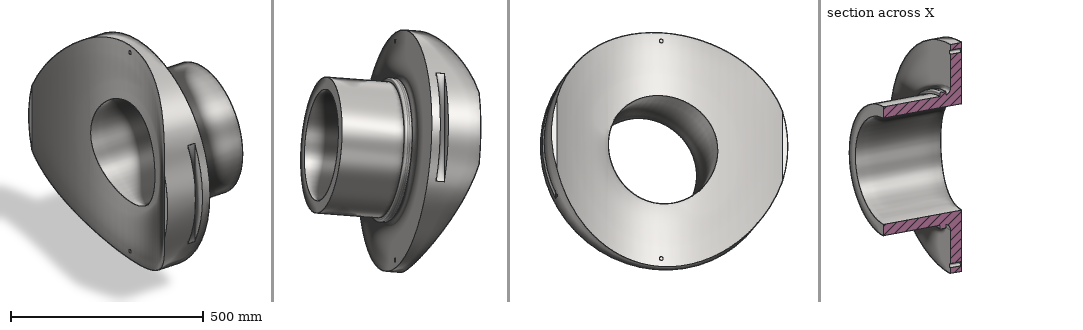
import cadquery as cq
import math

flange_diameter = 630.0
flange_radius = flange_diameter / 2
flange_depth = 134.0
saddle_radius = 500.0
crown_thickness = 34.0

pipe_radius = 177.5
pipe_length = 201.0
bore_radius = 145.5

neck_fillet = 17.5
collar_setback = 11.5
bead_radius = 5.35
bead_spacing = 10.0
collar_radius = 189.0
groove_depth = 1.0

slot_width = 22.0
slot_depth = 35.0
slot_setback = 23.0

pin_hole_diameter = 10.0
pin_hole_depth = 33.0
pin_hole_offset = 293.0


def make_flange():
    """Round disc with a cylindrical saddle cut into its -Y face."""
    disc = cq.Workplane("XZ").circle(flange_radius).extrude(flange_depth)
    saddle = (
        cq.Workplane("XY")
        .center(0, -crown_thickness - saddle_radius)
        .circle(saddle_radius)
        .extrude(flange_radius, both=True)
    )
    return disc.cut(saddle)


def make_pipe():
    """Plain pipe standing on the mounting face."""
    return cq.Workplane("XZ").circle(pipe_radius).extrude(-pipe_length)


def make_neck():
    """Concave fillet ring blending the pipe into the mounting face."""
    fillet_reach = neck_fillet * (1 - math.sqrt(0.5))
    return (
        cq.Workplane("XY")
        .moveTo(bore_radius, 0)
        .lineTo(pipe_radius + neck_fillet, 0)
        .threePointArc(
            (pipe_radius + fillet_reach, fillet_reach), (pipe_radius, neck_fillet)
        )
        .lineTo(bore_radius, neck_fillet)
        .close()
        .revolve(360, (0, 0, 0), (0, 1, 0))
    )


def make_collar():
    """Two round beads joined by a tangent groove, revolved about the pipe axis."""
    half_spacing = bead_spacing / 2
    collar_middle = collar_setback + bead_radius + half_spacing
    bead_center_radius = collar_radius - bead_radius
    waist_rise = bead_radius - groove_depth

    groove_radius = (waist_rise**2 + half_spacing**2 - bead_radius**2) / (2 * groove_depth)
    blend = bead_radius / (bead_radius + groove_radius)
    blend_radius = bead_center_radius + blend * (waist_rise + groove_radius)
    blend_offset = half_spacing * (1 - blend)
    half_length = half_spacing + bead_radius

    return (
        cq.Workplane("XY")
        .center(0, collar_middle)
        .moveTo(bore_radius, -half_length)
        .lineTo(bead_center_radius, -half_length)
        .threePointArc((collar_radius, -half_spacing), (blend_radius, -blend_offset))
        .threePointArc((collar_radius - groove_depth, 0), (blend_radius, blend_offset))
        .threePointArc((collar_radius, half_spacing), (bead_center_radius, half_length))
        .lineTo(bore_radius, half_length)
        .close()
        .revolve(360, (0, 0, 0), (0, 1, 0))
    )


def make_slot(side):
    """Cutter for the slot on one side: +1 for +X, -1 for -X."""
    slot_center = side * (flange_radius - slot_depth / 2)
    return (
        cq.Workplane("XY")
        .center(slot_center, -slot_setback - slot_width / 2)
        .rect(slot_depth, slot_width)
        .extrude(flange_radius, both=True)
    )


def make_pin_holes():
    """Cutters for the two blind holes in the mounting face."""
    return (
        cq.Workplane("XZ")
        .pushPoints([(0, -pin_hole_offset), (0, pin_hole_offset)])
        .circle(pin_hole_diameter / 2)
        .extrude(pin_hole_depth)
    )


result = make_flange().union(make_pipe()).union(make_neck()).union(make_collar())
bore_length = pipe_length + flange_depth
bore = cq.Workplane("XZ", origin=(0, pipe_length, 0)).circle(bore_radius).extrude(bore_length)
result = result.cut(bore).cut(make_pin_holes())
for side in (-1, 1):
    result = result.cut(make_slot(side))